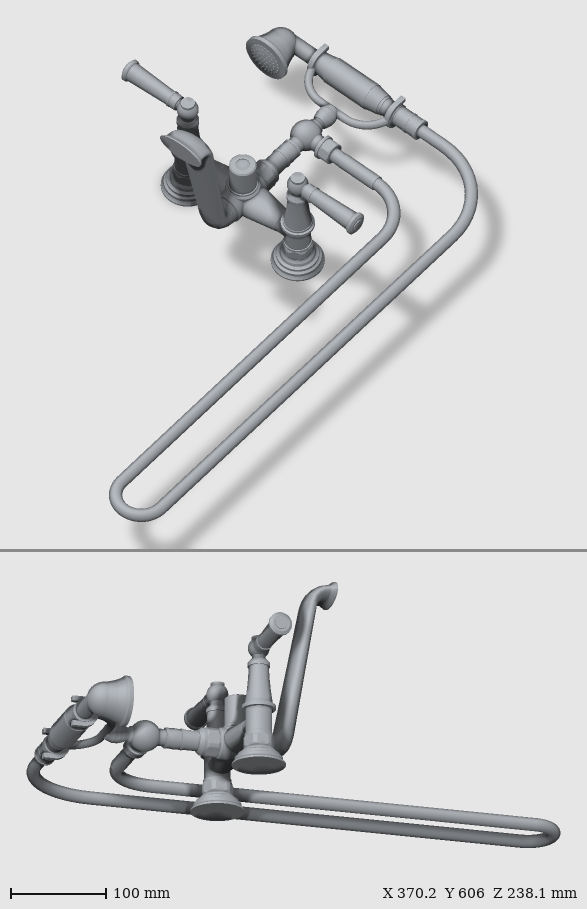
import math

import cadquery as cq


AXIS_Z = 48.7

VALVE_X = 76.0
HANDLE_Z = 131.2
HANDLE_END = 160.0
CAP_TOP = 143.2
BALL_RADIUS = 11.5
COLUMN_NUT_Z = 18.5
COLUMN_NUT_LENGTH = 13.5
COLUMN_NUT_APOTHEM = 15.2

BODY_HUB_X = 18.0
BODY_HUB_HALF_DEPTH = 20.0
BODY_HUB_HALF_HEIGHT = 14.0
BODY_NECK_X = 55.0
BODY_NECK_HALF_DEPTH = 12.8
BODY_NECK_HALF_HEIGHT = 11.3
BODY_NECK_STEP = 0.6
BACK_NUT_Y = 23.0
BACK_NUT_LENGTH = 14.5
BACK_NUT_APOTHEM = 14.8
DIVERTER_TOP = 101.0
DIVERTER_RADIUS = 14.5
DIVERTER_CHAMFER = 1.5
DIVERTER_RECESS_RADIUS = 7.5
DIVERTER_RECESS_DEPTH = 1.0

SPOUT_START_Y = -24.0
SPOUT_CORNER_Y = -46.5
SPOUT_LEAN = 10.5
SPOUT_LOWER_BEND = 20.0
SPOUT_UPPER_BEND = 18.0
SPOUT_ROOT = (14.8, 14.8)
SPOUT_FOOT = (16.0, 10.8)
SPOUT_NECK = (23.4, 7.6)
SPOUT_MOUTH = (24.3, 8.2)
SPOUT_RIM = (28.0, 12.5)
SPOUT_RIM_THICKNESS = 1.5
SPOUT_FLARE_LENGTH = 5.0
SPOUT_END_Y = -101.5
SPOUT_TOP = 238.07
BEND_STEPS = 4

OUTLET_Y = 102.4
OUTLET_BALL_RADIUS = 16.7
OUTLET_NUT_X = 26.0
OUTLET_NUT_LENGTH = 13.0
OUTLET_NUT_APOTHEM = 11.8
SLEEVE_START_X = 38.0
SLEEVE_STEP_X = 52.0
SLEEVE_END_X = 98.0
HOSE_OVERLAP = 1.0
SLEEVE_RADIUS = 8.2
SLEEVE_STEP = 0.4
HOSE_RADIUS = 7.0
HOSE_RIGHT = 210.17
HOSE_U_RADIUS = 27.0
HOSE_OUTER_BEND_X = 118.5
HOSE_U_Y = -371.1

SHOWER_Y = 185.9
SHOWER_GRIP_RADIUS = 15.04
SHOWER_GRIP_STEP = 0.6
COUPLING_END_X = 88.0
SHOWER_NECK_RADIUS = 9.0
HEAD_X = -98.0
HEAD_DOME_RADIUS = 18.5
FACE_EDGE_Y = 151.5
FACE_DOME_HEIGHT = 3.5
FACE_DOME_EDGE = 20.0
NOZZLE_RADIUS = 0.9
NOZZLE_HEIGHT = 0.6
NOZZLE_ROOT = 2.0
NOZZLE_RINGS = 5
NOZZLE_RING_STEP = 4.5
NOZZLES_PER_RING_STEP = 6
CRADLE_Y = 145.8
CRADLE_ROD_RADIUS = 4.5
CRADLE_FLAT = 17.0
FORK_X = 53.0
FORK_WIDTH = 6.0
FORK_OUTER = 16.5
FORK_INNER = 11.0
FORK_TIP_Y = 198.3

X_AXIS = (1, 0, 0)
Y_AXIS = (0, 1, 0)
Z_AXIS = (0, 0, 1)


def turned(profile, origin, axis):
    """Solid of revolution from (distance along axis from the origin, radius) points.

    A pair of points in place of one is the middle and the end of an arc.
    """
    side = Y_AXIS if axis == Z_AXIS else Z_AXIS
    plane = cq.Plane(origin=origin, xDir=axis, normal=side)
    outline = cq.Workplane(plane).moveTo(profile[0][0], 0)
    if profile[0][1] > 0:
        outline = outline.lineTo(*profile[0])
    for point in profile[1:]:
        if isinstance(point[0], tuple):
            end = point[1]
            outline = outline.threePointArc(*point)
        else:
            end = point
            outline = outline.lineTo(*point)
    if end[1] > 0:
        outline = outline.lineTo(end[0], 0)
    return outline.close().revolve(360, (0, 0), (1, 0))


def hex_nut(origin, axis, vertex_dir, apothem, length):
    """Hexagonal nut with rounded corners and both ends chamfered round."""
    corner = apothem / math.cos(math.radians(30))
    chamfer = corner - apothem
    corner_round = (corner + apothem) / 2
    plane = cq.Plane(origin=origin, xDir=vertex_dir, normal=axis)
    prism = cq.Workplane(plane).polygon(6, 2 * corner).extrude(length)
    envelope = turned(
        [(0, apothem), (chamfer, corner_round), (length - chamfer, corner_round), (length, apothem)],
        origin, axis,
    )
    return prism.intersect(envelope)


def ball(origin, axis, radius):
    """Sphere with its poles on the given axis."""
    return turned([(-radius, 0), ((0, radius), (radius, 0))], origin, axis)


def valve_column():
    """Column standing at x = 0 with its handle toward +X."""
    nut_top = COLUMN_NUT_Z + COLUMN_NUT_LENGTH
    base = turned(
        [(0, 28.5), (2, 28.5), (4.5, 25.5), (8, 25.5), (9, 22.5), (12, 22.5),
         (13, 19), (16, 18), (COLUMN_NUT_Z, 15.5)],
        (0, 0, 0), Z_AXIS,
    )
    nut = hex_nut((0, 0, COLUMN_NUT_Z), Z_AXIS, Y_AXIS, COLUMN_NUT_APOTHEM, COLUMN_NUT_LENGTH)
    barrel = turned(
        [(nut_top, 15), (35, 15), (35, 14), (62.5, 14), (62.5, 18), (66.5, 18), (66.5, 15.5), (69, 15.5),
         (69, 14.8), ((88, 12.2), (110, 10.6)), (110, 12), (114, 12), (118, 8.5),
         (118, 7.3), (HANDLE_Z, 7.3)],
        (0, 0, 0), Z_AXIS,
    )
    cap = turned([(HANDLE_Z, 7.5), (CAP_TOP, 7.5)], (0, 0, 0), Z_AXIS)
    handle = turned(
        [(0, 6.5), (12, 6.5), (12, 8.5), (20.5, 8.5), (20.5, 9.2), (22.5, 9.2), (22.5, 8.3), (76.5, 10.6),
         (76.5, 11.5), (78, 12.5), (81, 12.5), (83, 9.5), (83, 7), (HANDLE_END - VALVE_X, 7)],
        (0, 0, HANDLE_Z), X_AXIS,
    )
    knob = ball((0, 0, HANDLE_Z), Z_AXIS, BALL_RADIUS)
    return base.union(nut).union(barrel).union(cap).union(knob).union(handle)


def body():
    """Cross body joining the two columns, narrowing outward, with the diverter on top."""
    hub = cq.Plane(origin=(BODY_HUB_X, 0, AXIS_Z), xDir=Y_AXIS, normal=X_AXIS)
    arm = (
        cq.Workplane(hub)
        .ellipse(BODY_HUB_HALF_DEPTH, BODY_HUB_HALF_HEIGHT)
        .workplane(offset=BODY_NECK_X - BODY_HUB_X)
        .ellipse(BODY_NECK_HALF_DEPTH, BODY_NECK_HALF_HEIGHT)
        .loft()
    )
    centre = cq.Workplane(hub).ellipse(BODY_HUB_HALF_DEPTH, BODY_HUB_HALF_HEIGHT).extrude(-2 * BODY_HUB_X)
    neck = (
        cq.Workplane("YZ", origin=(-VALVE_X, 0, AXIS_Z))
        .ellipse(BODY_NECK_HALF_DEPTH - BODY_NECK_STEP, BODY_NECK_HALF_HEIGHT - BODY_NECK_STEP)
        .extrude(2 * VALVE_X)
    )
    diverter = turned(
        [(AXIS_Z, 18.5), (64, 18.5), (66, 16), (68, 16), (68, DIVERTER_RADIUS),
         (DIVERTER_TOP - DIVERTER_CHAMFER, DIVERTER_RADIUS),
         (DIVERTER_TOP, DIVERTER_RADIUS - DIVERTER_CHAMFER)],
        (0, 0, 0), Z_AXIS,
    )
    recess = (
        cq.Workplane("XY", origin=(0, 0, DIVERTER_TOP - DIVERTER_RECESS_DEPTH))
        .circle(DIVERTER_RECESS_RADIUS)
        .extrude(DIVERTER_RECESS_DEPTH)
    )
    front_joint = turned(
        [(-30.5, 15), (-25.5, 15), (-25.5, 16.7), (0, 16.7)], (0, 0, AXIS_Z), Y_AXIS
    )
    cross = centre.union(arm).union(arm.mirror("YZ")).union(neck)
    return cross.union(front_joint).union(diverter).cut(recess)


def hose_post():
    """Stem running back from the body to the cradle, with the ball that feeds the hose."""
    nut_end = BACK_NUT_Y + BACK_NUT_LENGTH
    origin = (0, 0, AXIS_Z)
    nut = hex_nut((0, BACK_NUT_Y, AXIS_Z), Y_AXIS, Z_AXIS, BACK_NUT_APOTHEM, BACK_NUT_LENGTH)
    root = turned([(0, 16.7), (21, 16.7), (BACK_NUT_Y, 15)], origin, Y_AXIS)
    stem = turned(
        [(nut_end, 15), (41, 15), (45, 12), (45, 10.7), (61.5, 10.7), (61.5, 11.4), (64, 11.4), (64, 10.5),
         ((71, 11.2), (78, 10.5)), (78, 11), (81, 11), (81, 9.2), (118, 9.2), (119.5, 8.6), (121, 7.2),
         (124, 7.2), (124, 8.2), (127, 9.5), (130, 10.2), (132, 10.8), (138, 10.8), (CRADLE_Y, 8)],
        origin, Y_AXIS,
    )
    flange = turned(
        [(0, 9.6), (22.5, 9.6), (22.5, 13.3), (OUTLET_NUT_X, 13.3)], (0, OUTLET_Y, AXIS_Z), X_AXIS
    )
    outlet_nut = hex_nut(
        (OUTLET_NUT_X, OUTLET_Y, AXIS_Z), X_AXIS, Y_AXIS, OUTLET_NUT_APOTHEM, OUTLET_NUT_LENGTH
    )
    sleeve = turned(
        [(SLEEVE_START_X, SLEEVE_RADIUS - SLEEVE_STEP), (SLEEVE_STEP_X, SLEEVE_RADIUS - SLEEVE_STEP),
         (SLEEVE_STEP_X, SLEEVE_RADIUS), (SLEEVE_END_X, SLEEVE_RADIUS)],
        (0, OUTLET_Y, AXIS_Z), X_AXIS,
    )
    post = root.union(nut).union(stem).union(ball((0, OUTLET_Y, AXIS_Z), Y_AXIS, OUTLET_BALL_RADIUS))
    return post.union(flange).union(outlet_nut).union(sleeve)


def hose():
    """Round hose looping from the outlet sleeve, around a U turn, to the hand shower."""
    outer_x = HOSE_RIGHT - HOSE_RADIUS
    inner_x = outer_x - 2 * HOSE_U_RADIUS
    inner_bend = inner_x - SLEEVE_END_X
    outer_bend = outer_x - HOSE_OUTER_BEND_X
    diagonal = math.sqrt(0.5)
    path = (
        cq.Workplane("XY", origin=(0, 0, AXIS_Z))
        .moveTo(SLEEVE_END_X - HOSE_OVERLAP, OUTLET_Y)
        .lineTo(SLEEVE_END_X, OUTLET_Y)
        .threePointArc(
            (SLEEVE_END_X + inner_bend * diagonal, OUTLET_Y - inner_bend * (1 - diagonal)),
            (inner_x, OUTLET_Y - inner_bend),
        )
        .lineTo(inner_x, HOSE_U_Y)
        .threePointArc((inner_x + HOSE_U_RADIUS, HOSE_U_Y - HOSE_U_RADIUS), (outer_x, HOSE_U_Y))
        .lineTo(outer_x, SHOWER_Y - outer_bend)
        .threePointArc(
            (outer_x - outer_bend * (1 - diagonal), SHOWER_Y - outer_bend * (1 - diagonal)),
            (outer_x - outer_bend, SHOWER_Y),
        )
        .lineTo(COUPLING_END_X - HOSE_OVERLAP, SHOWER_Y)
    )
    start = cq.Plane(origin=(SLEEVE_END_X - HOSE_OVERLAP, OUTLET_Y, AXIS_Z), xDir=Y_AXIS, normal=X_AXIS)
    return cq.Workplane(start).circle(HOSE_RADIUS).sweep(path)


def spout_section(y, z, heading, half_sizes):
    """Elliptical wire square to the spout centre line; heading is degrees above level, toward -Y."""
    angle = math.radians(heading)
    forward = (0, -math.cos(angle), math.sin(angle))
    plane = cq.Plane(origin=(0, y, z), xDir=X_AXIS, normal=forward)
    return cq.Workplane(plane).ellipse(*half_sizes).wires().val()


def bend_sections(y, z, heading, turn, radius, sizes_from, sizes_to):
    """Sections along an arc that starts at (y, z) and turns its heading by `turn` degrees."""
    bend_side = math.copysign(1, turn)
    start = math.radians(heading)
    centre_y = y + bend_side * radius * math.sin(start)
    centre_z = z + bend_side * radius * math.cos(start)
    sections = []
    for step in range(BEND_STEPS + 1):
        part = step / BEND_STEPS
        now = heading + turn * part
        angle = math.radians(now)
        sizes = [a + (b - a) * part for a, b in zip(sizes_from, sizes_to)]
        section_y = centre_y - bend_side * radius * math.sin(angle)
        section_z = centre_z - bend_side * radius * math.cos(angle)
        sections.append(spout_section(section_y, section_z, now, sizes))
    return sections


def spout():
    """Round root bending up into a flattened, leaning tube that bends forward to a flared mouth."""
    climb = 90 - SPOUT_LEAN
    half_turn = math.tan(math.radians(climb / 2))
    mouth_z = SPOUT_TOP - SPOUT_RIM[1]
    mouth_y = SPOUT_END_Y + SPOUT_RIM_THICKNESS + SPOUT_FLARE_LENGTH
    upper_corner_y = SPOUT_CORNER_Y - (mouth_z - AXIS_Z) * math.tan(math.radians(SPOUT_LEAN))
    upper_tangent = SPOUT_UPPER_BEND * half_turn
    upper_start_y = upper_corner_y + upper_tangent * math.sin(math.radians(SPOUT_LEAN))
    upper_start_z = mouth_z - upper_tangent * math.cos(math.radians(SPOUT_LEAN))
    lower_start_y = SPOUT_CORNER_Y + SPOUT_LOWER_BEND * half_turn

    lower = bend_sections(lower_start_y, AXIS_Z, 0, climb, SPOUT_LOWER_BEND, SPOUT_ROOT, SPOUT_FOOT)
    upper = bend_sections(
        upper_start_y, upper_start_z, climb, -climb, SPOUT_UPPER_BEND, SPOUT_NECK, SPOUT_MOUTH
    )
    root = spout_section(SPOUT_START_Y, AXIS_Z, 0, SPOUT_ROOT)
    mouth = spout_section(mouth_y, mouth_z, 0, SPOUT_MOUTH)
    rim = spout_section(SPOUT_END_Y + SPOUT_RIM_THICKNESS, mouth_z, 0, SPOUT_RIM)
    rim_face = spout_section(SPOUT_END_Y, mouth_z, 0, SPOUT_RIM)

    pieces = [
        cq.Solid.makeLoft([root, lower[0]], True),
        cq.Solid.makeLoft(lower),
        cq.Solid.makeLoft([lower[-1], upper[0]], True),
        cq.Solid.makeLoft(upper),
        cq.Solid.makeLoft([upper[-1], mouth], True),
        cq.Solid.makeLoft([mouth, rim], True),
        cq.Solid.makeLoft([rim, rim_face], True),
    ]
    whole = cq.Workplane(pieces[0])
    for piece in pieces[1:]:
        whole = whole.union(cq.Workplane(piece))
    return whole


def hand_shower():
    """Handle lying along X, with the hose coupling at its right end."""
    grip_end = SHOWER_GRIP_RADIUS - SHOWER_GRIP_STEP
    return turned(
        [(HEAD_X, SHOWER_NECK_RADIUS), (-57, SHOWER_NECK_RADIUS),
         (-57, 12), (-50, 12), (-35, grip_end), (-35, SHOWER_GRIP_RADIUS), (20, SHOWER_GRIP_RADIUS),
         (20, grip_end), (36, 12), (36, 11), (39, 11), (39, 10),
         (50, 10), (50, 12), (57, 12), (57, 11), (72, 11), (72, 11.5), (74, 11.5),
         (74, 11), (85, 11), (85, 11.5),
         (COUPLING_END_X, 11.5)],
        (0, SHOWER_Y, AXIS_Z), X_AXIS,
    )


def shower_head():
    """Bell-shaped head facing -Y, with rings of nozzles on its domed face."""
    face_sphere = (FACE_DOME_EDGE ** 2 + FACE_DOME_HEIGHT ** 2) / (2 * FACE_DOME_HEIGHT)
    face_tip_y = FACE_EDGE_Y - FACE_DOME_HEIGHT
    sphere_y = face_tip_y + face_sphere
    half_angle = math.asin(FACE_DOME_EDGE / face_sphere) / 2
    face_mid = (sphere_y - face_sphere * math.cos(half_angle), face_sphere * math.sin(half_angle))
    dome_y = SHOWER_Y + SHOWER_NECK_RADIUS - HEAD_DOME_RADIUS
    dome_slant = HEAD_DOME_RADIUS * math.sqrt(0.5)
    head = turned(
        [(face_tip_y, 0), (face_mid, (FACE_EDGE_Y, FACE_DOME_EDGE)), (FACE_EDGE_Y, 27), (156, 27),
         (158.5, 24.5), (167, 21), (dome_y, HEAD_DOME_RADIUS),
         ((dome_y + dome_slant, dome_slant), (dome_y + HEAD_DOME_RADIUS, 0))],
        (HEAD_X, 0, AXIS_Z), Y_AXIS,
    )
    for ring in range(NOZZLE_RINGS):
        ring_radius = ring * NOZZLE_RING_STEP
        surface_y = sphere_y - math.sqrt(face_sphere ** 2 - ring_radius ** 2)
        nozzles = cq.Workplane("XZ", origin=(HEAD_X, surface_y + NOZZLE_ROOT, AXIS_Z))
        if ring > 0:
            nozzles = nozzles.polarArray(ring_radius, 0, 360, ring * NOZZLES_PER_RING_STEP)
        head = head.union(nozzles.circle(NOZZLE_RADIUS).extrude(NOZZLE_ROOT + NOZZLE_HEIGHT))
    return head


def fork():
    """U-shaped fork at x = 0, open toward +Y, that carries the hand shower."""
    profile = (
        cq.Workplane("YZ", origin=(-FORK_WIDTH / 2, SHOWER_Y, AXIS_Z))
        .moveTo(FORK_TIP_Y - SHOWER_Y, FORK_OUTER)
        .lineTo(0, FORK_OUTER)
        .threePointArc((-FORK_OUTER, 0), (0, -FORK_OUTER))
        .lineTo(FORK_TIP_Y - SHOWER_Y, -FORK_OUTER)
        .lineTo(FORK_TIP_Y - SHOWER_Y, -FORK_INNER)
        .lineTo(0, -FORK_INNER)
        .threePointArc((-FORK_INNER, 0), (0, FORK_INNER))
        .lineTo(FORK_TIP_Y - SHOWER_Y, FORK_INNER)
        .close()
    )
    return profile.extrude(FORK_WIDTH)


def cradle():
    """Bowed rod with a fork at each end."""
    bend = FORK_X - CRADLE_FLAT
    diagonal = math.sqrt(0.5)
    bend_top = CRADLE_Y + bend
    mid_x = CRADLE_FLAT + bend * diagonal
    mid_y = bend_top - bend * diagonal
    path = (
        cq.Workplane("XY", origin=(0, 0, AXIS_Z))
        .moveTo(-FORK_X, bend_top)
        .threePointArc((-mid_x, mid_y), (-CRADLE_FLAT, CRADLE_Y))
        .lineTo(CRADLE_FLAT, CRADLE_Y)
        .threePointArc((mid_x, mid_y), (FORK_X, bend_top))
    )
    start = cq.Plane(origin=(-FORK_X, bend_top, AXIS_Z), xDir=X_AXIS, normal=(0, -1, 0))
    rod = cq.Workplane(start).circle(CRADLE_ROD_RADIUS).sweep(path)
    left = fork().translate((-FORK_X, 0, 0))
    right = fork().translate((FORK_X, 0, 0))
    return rod.union(left).union(right)


right_column = valve_column().translate((VALVE_X, 0, 0))
parts = [
    right_column,
    right_column.mirror("YZ"),
    spout(),
    hose_post(),
    cradle(),
    hand_shower(),
    shower_head(),
    hose(),
]
result = body()
for part in parts:
    result = result.union(part)